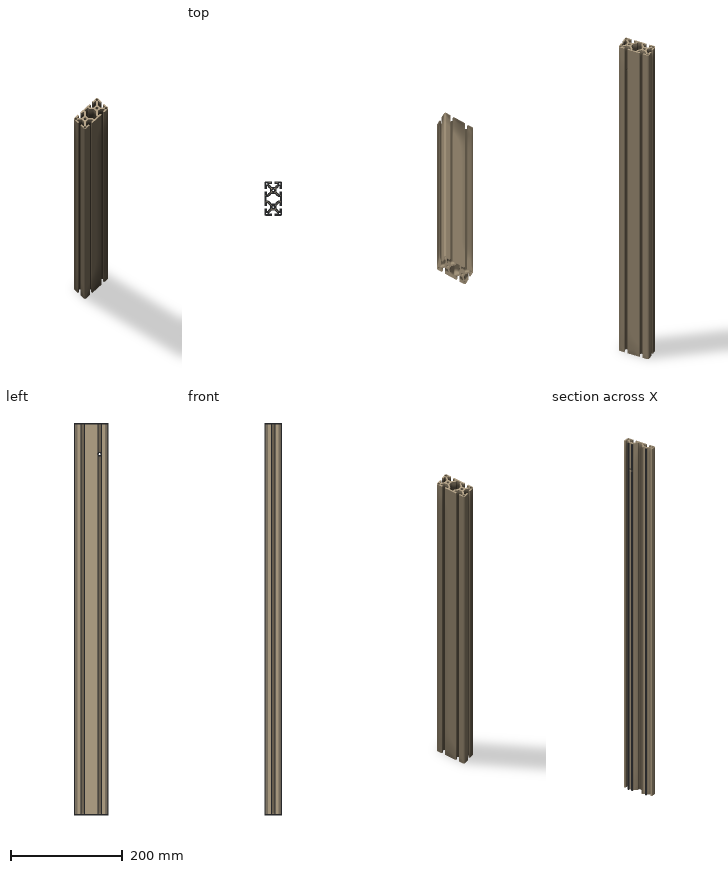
import cadquery as cq
width = 30.0
depth = 60.0
length = 700.0
corner_radius = 3.0

slot_pitch = 30.0
slot_opening = 6.2
slot_lip = 2.9
slot_inner_width = 16.4
slot_depth = 9.75
slot_floor_width = 6.2

core_half = width / 2 - slot_depth
core_bore_diameter = 4.98

cavity_end_y = slot_pitch / 2 - core_half
cavity_end_width = 6.4
cavity_recess_height = 8.0
cavity_recess_wall = 2.45

corner_hollow_wall = 1.3
corner_hollow_size = 4.1
corner_hollow_radius = 0.9

cross_hole_diameter = 5.9
cross_hole_from_top = 54.8


def outer_bar():
    bar = cq.Workplane("XY").rect(width, depth).extrude(length)
    return bar.edges("|Z").fillet(corner_radius)


def slot_cutter(mouth_x, mouth_y, inward_angle):
    """T-slot with its mouth centred on a side face, narrowing at 45 degrees down to a flat floor."""
    half_opening = slot_opening / 2
    half_inner = slot_inner_width / 2
    half_floor = slot_floor_width / 2
    shoulder = slot_depth - (half_inner - half_floor)
    outline = (
        cq.Workplane("XY")
        .moveTo(0, 0)
        .lineTo(0, half_opening)
        .lineTo(slot_lip, half_opening)
        .lineTo(slot_lip, half_inner)
        .lineTo(shoulder, half_inner)
        .lineTo(slot_depth, half_floor)
        .lineTo(slot_depth, 0)
        .mirrorX()
    )
    cutter = outline.extrude(length)
    return cutter.rotate((0, 0, 0), (0, 0, 1), inward_angle).translate((mouth_x, mouth_y, 0))


def central_cavity():
    """Hollow with flat ends, 45-degree flanks and a rectangular recess towards each wide side."""
    flank = cavity_end_y - cavity_recess_height / 2
    flanked_width = cavity_end_width + 2 * flank
    flanked = cq.Workplane("XY").rect(flanked_width, 2 * cavity_end_y).extrude(length)
    flanked = flanked.edges("|Z").chamfer(flank)
    recess_width = width - 2 * cavity_recess_wall
    recess = cq.Workplane("XY").rect(recess_width, cavity_recess_height).extrude(length)
    return flanked.union(recess)


def corner_hollows():
    inset = corner_hollow_wall + corner_hollow_size / 2
    hollows = (
        cq.Workplane("XY")
        .rect(width - 2 * inset, depth - 2 * inset, forConstruction=True)
        .vertices()
        .rect(corner_hollow_size, corner_hollow_size)
        .extrude(length)
    )
    return hollows.edges("|Z").fillet(corner_hollow_radius)


def core_bores():
    centres = [(0, -slot_pitch / 2), (0, slot_pitch / 2)]
    return cq.Workplane("XY").pushPoints(centres).circle(core_bore_diameter / 2).extrude(length)


def cross_hole():
    start = (-width / 2, -slot_pitch / 2, length - cross_hole_from_top)
    return cq.Workplane("YZ", origin=start).circle(cross_hole_diameter / 2).extrude(width)


result = outer_bar()

result = result.cut(slot_cutter(0, -depth / 2, 90))
result = result.cut(slot_cutter(0, depth / 2, -90))

for slot_y in (-slot_pitch / 2, slot_pitch / 2):
    result = result.cut(slot_cutter(-width / 2, slot_y, 0))
    result = result.cut(slot_cutter(width / 2, slot_y, 180))

result = result.cut(central_cavity())
result = result.cut(corner_hollows())
result = result.cut(core_bores())
result = result.cut(cross_hole())